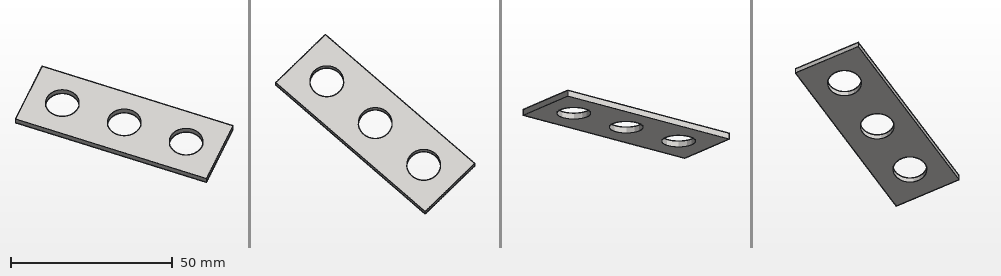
import cadquery as cq

length = 63.5
width = 22.35
thickness = 2.0

hole_diameter = 10.4
hole_pitch = 20.6
hole_count = 3

plate = cq.Workplane("XY").box(length, width, thickness)

result = (
    plate.faces(">Z")
    .workplane()
    .rarray(hole_pitch, width, hole_count, 1)
    .hole(hole_diameter)
)